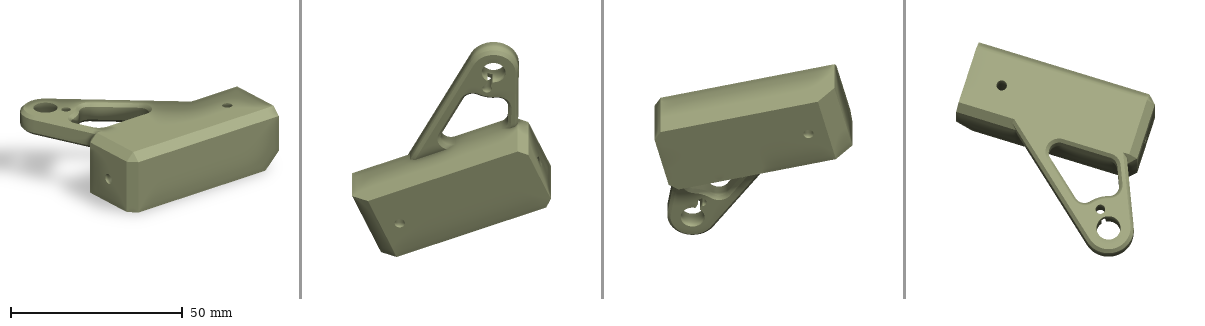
import cadquery as cq
import math

BLOCK_WIDTH = 21.95
BLOCK_LENGTH = 54.5
BLOCK_HEIGHT = 18.5
BLOCK_CHAMFER = 2.4
REAR_CHAMFER = 4.95
CROSS_HOLE_DIAMETER = 3.0
CROSS_HOLE_FROM_REAR = 10.45
FRONT_HOLE_HEIGHT = 7.5
FRONT_HOLE_DEPTH = 9.05

OVERALL_WIDTH = 49.85
OVERALL_LENGTH = 60.3
ARM_THICKNESS = 6.05
ARM_CHAMFER = 0.95
BOSS_RADIUS = 7.35
UPPER_EDGE_ANGLE = math.radians(48.9)
LOWER_EDGE_ANGLE = math.radians(23)
ARM_INSERTION = 2.95
BOSS_X = BLOCK_WIDTH - OVERALL_WIDTH + BOSS_RADIUS
BOSS_Y = BLOCK_LENGTH - OVERALL_LENGTH + BOSS_RADIUS
ARM_BOTTOM = BLOCK_HEIGHT - ARM_THICKNESS

UPPER_RIM = 4.0
LOWER_RIM = 3.0
BOSS_CLEARANCE = 2.5
WINDOW_FILLET = 3.0

BOSS_HOLE_DIAMETER = 7.0
SMALL_HOLE_DIAMETER = 2.8
SMALL_HOLE_DISTANCE = 6.1
SMALL_HOLE_ANGLE = 40.4
SLOT_WIDTH = 1.5
SLOT_ROOF_DEPTH = 2.05


def upper_edge_y(x, radius):
    """Y at x on the upper line tangent to a circle about the boss centre."""
    return BOSS_Y + (x - BOSS_X) * math.tan(UPPER_EDGE_ANGLE) + radius / math.cos(UPPER_EDGE_ANGLE)


def lower_edge_y(x, radius):
    """Y at x on the lower line tangent to a circle about the boss centre."""
    return BOSS_Y + (x - BOSS_X) * math.tan(LOWER_EDGE_ANGLE) - radius / math.cos(LOWER_EDGE_ANGLE)


def make_window():
    """Cutter bounded by the block face, both arm edges and an arc about the boss."""
    upper_radius = BOSS_RADIUS - UPPER_RIM
    lower_radius = BOSS_RADIUS - LOWER_RIM
    boss_guard = (
        cq.Workplane("XY", origin=(BOSS_X, BOSS_Y, ARM_BOTTOM))
        .circle(BOSS_RADIUS + BOSS_CLEARANCE)
        .extrude(ARM_THICKNESS)
    )
    return (
        cq.Workplane("XY", origin=(0, 0, ARM_BOTTOM))
        .moveTo(0, lower_edge_y(0, lower_radius))
        .lineTo(0, upper_edge_y(0, upper_radius))
        .lineTo(BOSS_X, upper_edge_y(BOSS_X, upper_radius))
        .lineTo(BOSS_X, lower_edge_y(BOSS_X, lower_radius))
        .close()
        .extrude(ARM_THICKNESS)
        .cut(boss_guard)
        .edges("|Z")
        .fillet(WINDOW_FILLET)
    )


def make_plate():
    """Tapered plate with a window, chamfered on both faces and trimmed square at its root."""
    outline_end = 2 * ARM_INSERTION
    upper_tangent = (
        BOSS_X - BOSS_RADIUS * math.sin(UPPER_EDGE_ANGLE),
        BOSS_Y + BOSS_RADIUS * math.cos(UPPER_EDGE_ANGLE),
    )
    lower_tangent = (
        BOSS_X + BOSS_RADIUS * math.sin(LOWER_EDGE_ANGLE),
        BOSS_Y - BOSS_RADIUS * math.cos(LOWER_EDGE_ANGLE),
    )
    middle_angle = (UPPER_EDGE_ANGLE + LOWER_EDGE_ANGLE) / 2
    boss_tip = (
        BOSS_X - BOSS_RADIUS * math.cos(middle_angle),
        BOSS_Y - BOSS_RADIUS * math.sin(middle_angle),
    )
    plate = (
        cq.Workplane("XY", origin=(0, 0, ARM_BOTTOM))
        .moveTo(outline_end, upper_edge_y(outline_end, BOSS_RADIUS))
        .lineTo(*upper_tangent)
        .threePointArc(boss_tip, lower_tangent)
        .lineTo(outline_end, lower_edge_y(outline_end, BOSS_RADIUS))
        .close()
        .extrude(ARM_THICKNESS)
        .cut(make_window())
        .faces("|Z")
        .edges()
        .chamfer(ARM_CHAMFER)
    )
    beyond_root = cq.Workplane("XY").box(
        BLOCK_WIDTH, 2 * OVERALL_LENGTH, BLOCK_HEIGHT, centered=(False, True, False)
    ).translate((ARM_INSERTION, 0, 0))
    return plate.cut(beyond_root)


def make_boss_cutters():
    """Large hole, small hole and the slot that joins them from below."""
    boss_plane = cq.Workplane("XY", origin=(BOSS_X, BOSS_Y, ARM_BOTTOM)).transformed(
        rotate=(0, 0, SMALL_HOLE_ANGLE)
    )
    boss_hole = boss_plane.circle(BOSS_HOLE_DIAMETER / 2).extrude(ARM_THICKNESS)
    small_hole = (
        boss_plane.center(SMALL_HOLE_DISTANCE, 0)
        .circle(SMALL_HOLE_DIAMETER / 2)
        .extrude(ARM_THICKNESS)
    )
    slot = (
        boss_plane.center(SMALL_HOLE_DISTANCE / 2, 0)
        .rect(SMALL_HOLE_DISTANCE, SLOT_WIDTH)
        .extrude(ARM_THICKNESS - SLOT_ROOF_DEPTH)
    )
    return boss_hole.union(small_hole).union(slot)


def make_arm():
    return make_plate().cut(make_boss_cutters())


def make_block(arm):
    """Chamfered bar with two holes and a recess that fits the root of the arm."""
    block = (
        cq.Workplane("XY")
        .box(BLOCK_WIDTH, BLOCK_LENGTH, BLOCK_HEIGHT, centered=False)
        .edges("(>Z and |Y) or (>Z and <Y) or (<Y and |Z)")
        .chamfer(BLOCK_CHAMFER)
        .edges("<Z and >Y")
        .chamfer(REAR_CHAMFER)
    )
    cross_hole = (
        cq.Workplane("XY", origin=(BLOCK_WIDTH / 2, BLOCK_LENGTH - CROSS_HOLE_FROM_REAR, 0))
        .circle(CROSS_HOLE_DIAMETER / 2)
        .extrude(BLOCK_HEIGHT)
    )
    front_hole = (
        cq.Workplane("XZ", origin=(BLOCK_WIDTH / 2, 0, FRONT_HOLE_HEIGHT))
        .circle(CROSS_HOLE_DIAMETER / 2)
        .extrude(-FRONT_HOLE_DEPTH)
    )
    return block.cut(cross_hole).cut(front_hole).cut(arm)


arm = make_arm()
block = make_block(arm)
result = cq.Compound.makeCompound([block.solids().val(), arm.solids().val()])